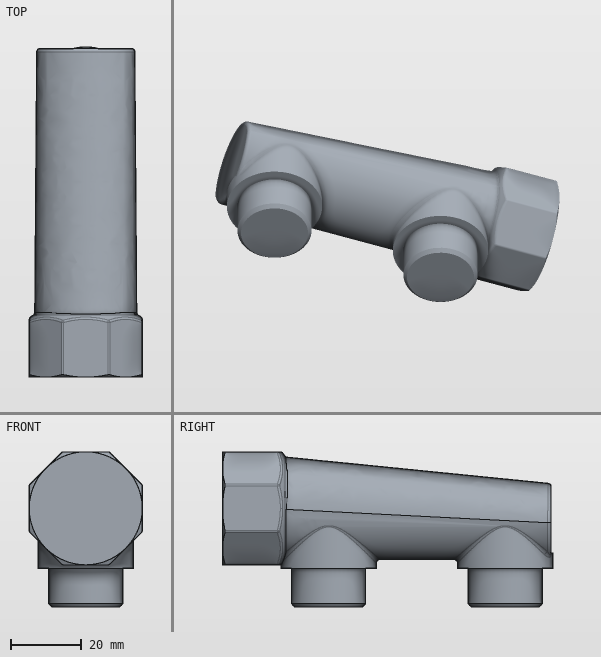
import cadquery as cq
import math


nut_flats = 32.0
nut_sides = 8
nut_corner_radius = 0.8
nut_chamfer_angle = 30.0
nut_length = 17.9
shoulder_angle = 35.0
shoulder_rounding = 0.8
shoulder_fillet = 0.8
shoulder_overlap = 0.1

body_radius = 14.5
body_end = 93.0
body_start = 12.0
start_top = 15.1
end_half_width = 13.9
end_top = 7.0
end_rounding = 1.0

port_positions = (30.0, 80.0)
collar_radius = 13.5
collar_bottom = -17.0
collar_top = -3.0
collar_ledge = -12.6
thread_radius = 10.5
thread_length = 11.0
thread_chamfer = 1.0
collar_fillet = 1.0

margin = 0.1


def section(y, half_width, top):
    """Body section: upper half-ellipse closed below by an arc about the nut axis."""
    seam_z = -math.sqrt(body_radius**2 - half_width**2)
    upper = (
        cq.Workplane("XZ", origin=(0, y, 0))
        .moveTo(half_width, seam_z)
        .ellipseArc(half_width, top - seam_z, 0, 180, startAtCurrent=True)
    )
    return upper.threePointArc((0, -body_radius), (half_width, seam_z)).close().wire().val()


def make_body():
    nut_end_section = section(body_start, body_radius, start_top)
    small_end_section = section(body_end, end_half_width, end_top)
    loft = cq.Solid.makeLoft([nut_end_section, small_end_section], True)
    return cq.Workplane(loft).faces(">Y").edges().fillet(end_rounding)


def cylinder_up(radius, y, bottom, top):
    return cq.Workplane("XY", origin=(0, y, bottom)).circle(radius).extrude(top - bottom)


def make_collars():
    collars = cq.Workplane()
    for y in port_positions:
        collars = collars.add(cylinder_up(collar_radius, y, collar_bottom, collar_top))
    past_end = cq.Workplane("XY").box(
        2 * collar_radius, collar_radius, collar_top - collar_ledge, centered=(True, False, False)
    ).translate((0, body_end, collar_ledge))
    return collars.combine().cut(past_end)


def add_collars(body):
    """Join the collars and blend the curve where each one meets the body."""
    joined = body.union(make_collars())
    junction_zone = cq.selectors.BoxSelector(
        (-collar_radius - margin, body_start + margin, -body_radius - margin),
        (collar_radius + margin, body_end - end_rounding + margin, collar_top),
        boundingbox=True,
    )
    return joined.edges(junction_zone).fillet(collar_fillet)


def make_thread(y):
    bottom = collar_bottom - thread_length
    return cylinder_up(thread_radius, y, bottom, collar_bottom).faces("<Z").chamfer(thread_chamfer)


def make_nut_prism(corner_radius, length):
    prism = (
        cq.Workplane("XZ")
        .transformed(rotate=(0, 0, 180 / nut_sides))
        .polygon(nut_sides, 2 * corner_radius)
        .extrude(-length)
    )
    return prism.edges("|Y").fillet(nut_corner_radius)


def make_nut():
    flat_radius = nut_flats / 2
    corner_radius = flat_radius / math.cos(math.pi / nut_sides)
    chamfer_length = (corner_radius - flat_radius) * math.tan(math.radians(nut_chamfer_angle))

    slope = math.radians(shoulder_angle)
    root_radius = body_radius - shoulder_overlap
    cone_length = (corner_radius - root_radius) * math.tan(slope)
    tangent_length = shoulder_fillet * math.tan((math.pi / 2 - slope) / 2)
    arc_start = (
        root_radius + tangent_length * math.cos(slope),
        nut_length - tangent_length * math.sin(slope),
    )
    arc_end = (root_radius, nut_length + tangent_length)

    turned = (
        cq.Workplane("XY")
        .lineTo(flat_radius, 0)
        .lineTo(corner_radius, chamfer_length)
        .lineTo(corner_radius, nut_length - cone_length)
        .lineTo(*arc_start)
        .tangentArcPoint(arc_end, relative=False)
        .lineTo(0, arc_end[1])
        .close()
        .revolve(360, (0, 0, 0), (0, 1, 0))
    )
    nut = make_nut_prism(corner_radius, arc_end[1]).intersect(turned)

    shoulder_zone = cq.selectors.BoxSelector(
        (-corner_radius, nut_length - cone_length, -corner_radius),
        (corner_radius, arc_start[1] - margin, corner_radius),
        boundingbox=True,
    )
    return nut.edges(shoulder_zone).fillet(shoulder_rounding)


result = add_collars(make_body())
for port_y in port_positions:
    result = result.union(make_thread(port_y))
result = result.union(make_nut())